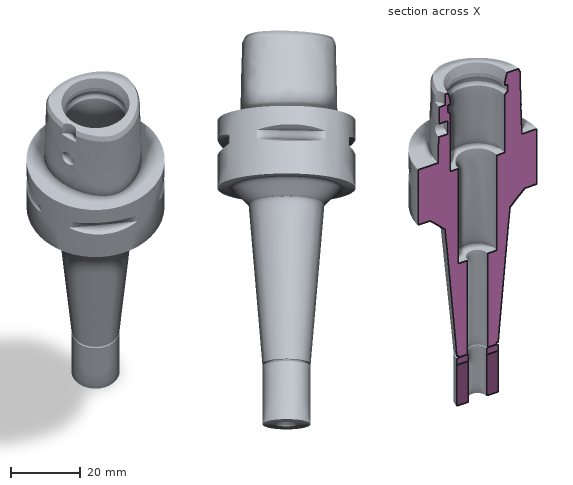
import cadquery as cq
import math

TOP_Z = 114.0
FLANGE_TOP_Z = 90.1
FLANGE_BOTTOM_Z = 70.0
CONE_BOTTOM_Z = 65.2
SHANK_BOTTOM_Z = 17.9
COLLAR_TOP_Z = 17.2
COLLAR_BOTTOM_Z = 14.7

FLANGE_RADIUS = 40.0 / 2
CONE_BOTTOM_RADIUS = 22.2 / 2
CONE_TOP_RADIUS = CONE_BOTTOM_RADIUS + FLANGE_BOTTOM_Z - CONE_BOTTOM_Z
SHANK_TOP_RADIUS = 22.0 / 2
NOSE_RADIUS = 14.0 / 2
NECK_RADIUS = 12.8 / 2

POLYGON_BASE_RADIUS = 28.3 / 2
POLYGON_LOBE = 0.8
TAPER = 1 / 20
CHAMFER_HEIGHT = 1.5
CHAMFER_WIDTH = 0.7
POLYGON_POINTS = 24

HOLDER_THROUGH_RADIUS = 3.3
NOSE_THROUGH_RADIUS = 3.0
COUNTERBORE_RADIUS = 12.9 / 2
COUNTERBORE_DEPTH = 34.2
MAIN_BORE_RADIUS = 18.1 / 2
MAIN_BORE_DEPTH = 28.5
MOUTH_RADIUS = 19.7 / 2
MOUTH_DEPTH = 3.2
GROOVE_RADIUS = MAIN_BORE_RADIUS + 0.9
GROOVE_TOP_DEPTH = 4.6
GROOVE_FLOOR_HEIGHT = 2.3
GROOVE_FLANK_HEIGHT = GROOVE_RADIUS - MAIN_BORE_RADIUS

NOTCH_RADIUS = 2.7
NOTCH_CENTRE_Y = -13.7
NOTCH_DEPTH = 4.0
SIDE_HOLE_RADIUS = 2.3
SIDE_HOLE_Z = 101.6
SIDE_HOLE_FLOOR_Y = -10.0

GRIP_COUNT = 4
GRIP_START_ANGLE = 45.0
GRIP_Z = 82.1
GRIP_FLOOR_DISTANCE = 34.7 / 2
GRIP_FLOOR_HEIGHT = 2.5
GRIP_FLANK_ANGLE = 25.0


def polygon_wire(mean_radius, z):
    """Closed constant-width curve with three rounded lobes, one of them toward +Y."""

    def point(t):
        angle = 2 * math.pi * t - math.pi / 2
        lobe_angle = 3 * (angle - math.pi / 2)
        support = mean_radius + POLYGON_LOBE * math.cos(lobe_angle)
        slope = -3 * POLYGON_LOBE * math.sin(lobe_angle)
        x = support * math.cos(angle) - slope * math.sin(angle)
        y = support * math.sin(angle) + slope * math.cos(angle)
        return cq.Vector(x, y, z)

    points = [point(i / POLYGON_POINTS) for i in range(POLYGON_POINTS)]
    return cq.Wire.assembleEdges([cq.Edge.makeSpline(points, periodic=True)])


def make_polygon_shank():
    chamfer_z = TOP_Z - CHAMFER_HEIGHT
    chamfer_radius = POLYGON_BASE_RADIUS - (chamfer_z - FLANGE_TOP_Z) * TAPER / 2
    base = polygon_wire(POLYGON_BASE_RADIUS, FLANGE_TOP_Z)
    shoulder = polygon_wire(chamfer_radius, chamfer_z)
    tip = polygon_wire(chamfer_radius - CHAMFER_WIDTH, TOP_Z)
    return cq.Workplane(cq.Solid.makeLoft([base, shoulder, tip], True))


def make_turned_blank():
    """Flange, cone, tapered shank and neck as one turned shape."""
    return (
        cq.Workplane("XZ")
        .moveTo(0, FLANGE_TOP_Z)
        .lineTo(FLANGE_RADIUS, FLANGE_TOP_Z)
        .lineTo(FLANGE_RADIUS, FLANGE_BOTTOM_Z)
        .lineTo(CONE_TOP_RADIUS, FLANGE_BOTTOM_Z)
        .lineTo(CONE_BOTTOM_RADIUS, CONE_BOTTOM_Z)
        .lineTo(SHANK_TOP_RADIUS, CONE_BOTTOM_Z)
        .lineTo(NOSE_RADIUS, SHANK_BOTTOM_Z)
        .lineTo(NECK_RADIUS, SHANK_BOTTOM_Z)
        .lineTo(NECK_RADIUS, COLLAR_TOP_Z)
        .lineTo(0, COLLAR_TOP_Z)
        .close()
        .revolve(360, (0, 0, 0), (0, 1, 0))
    )


def make_bore():
    """Stepped bore through the holder, with a tapered mouth and a ring groove below it."""
    mouth_bottom_z = TOP_Z - MOUTH_DEPTH
    groove_top_z = TOP_Z - GROOVE_TOP_DEPTH
    groove_flank_z = groove_top_z - GROOVE_FLOOR_HEIGHT
    groove_bottom_z = groove_flank_z - GROOVE_FLANK_HEIGHT
    main_bottom_z = TOP_Z - MAIN_BORE_DEPTH
    counterbore_bottom_z = main_bottom_z - COUNTERBORE_DEPTH
    return (
        cq.Workplane("XZ")
        .moveTo(0, TOP_Z)
        .lineTo(MOUTH_RADIUS, TOP_Z)
        .lineTo(MAIN_BORE_RADIUS, mouth_bottom_z)
        .lineTo(MAIN_BORE_RADIUS, groove_top_z)
        .lineTo(GROOVE_RADIUS, groove_top_z)
        .lineTo(GROOVE_RADIUS, groove_flank_z)
        .lineTo(MAIN_BORE_RADIUS, groove_bottom_z)
        .lineTo(MAIN_BORE_RADIUS, main_bottom_z)
        .lineTo(COUNTERBORE_RADIUS, main_bottom_z)
        .lineTo(COUNTERBORE_RADIUS, counterbore_bottom_z)
        .lineTo(HOLDER_THROUGH_RADIUS, counterbore_bottom_z)
        .lineTo(HOLDER_THROUGH_RADIUS, COLLAR_TOP_Z)
        .lineTo(0, COLLAR_TOP_Z)
        .close()
        .revolve(360, (0, 0, 0), (0, 1, 0))
    )


def make_key_notch():
    return (
        cq.Workplane("XY", origin=(0, NOTCH_CENTRE_Y, TOP_Z - NOTCH_DEPTH))
        .circle(NOTCH_RADIUS)
        .extrude(NOTCH_DEPTH)
    )


def make_side_hole():
    """Blind flat-bottomed hole, entered from -Y."""
    return (
        cq.Workplane("XZ", origin=(0, SIDE_HOLE_FLOOR_Y, SIDE_HOLE_Z))
        .circle(SIDE_HOLE_RADIUS)
        .extrude(FLANGE_RADIUS + SIDE_HOLE_FLOOR_Y)
    )


def make_grip_groove(angle):
    """Straight groove with sloping flanks, cut across the rim of the flange."""
    depth = FLANGE_RADIUS - GRIP_FLOOR_DISTANCE
    half_floor = GRIP_FLOOR_HEIGHT / 2
    half_mouth = half_floor + depth * math.tan(math.radians(GRIP_FLANK_ANGLE))
    return (
        cq.Workplane("XZ", origin=(0, 0, GRIP_Z))
        .moveTo(GRIP_FLOOR_DISTANCE, -half_floor)
        .lineTo(FLANGE_RADIUS, -half_mouth)
        .lineTo(FLANGE_RADIUS, half_mouth)
        .lineTo(GRIP_FLOOR_DISTANCE, half_floor)
        .close()
        .extrude(FLANGE_RADIUS, both=True)
        .rotate((0, 0, 0), (0, 0, 1), angle)
    )


def make_holder():
    holder = make_turned_blank().union(make_polygon_shank())
    holder = holder.cut(make_bore()).cut(make_key_notch()).cut(make_side_hole())
    for i in range(GRIP_COUNT):
        holder = holder.cut(make_grip_groove(GRIP_START_ANGLE + i * 360 / GRIP_COUNT))
    return holder.solids()


def make_nose_ring(bottom_z, top_z):
    """Plain ring around the through bore."""
    return (
        cq.Workplane("XY", origin=(0, 0, bottom_z))
        .circle(NOSE_RADIUS)
        .circle(NOSE_THROUGH_RADIUS)
        .extrude(top_z - bottom_z)
    )


holder = make_holder()
collar = make_nose_ring(COLLAR_BOTTOM_Z, COLLAR_TOP_Z)
nose_sleeve = make_nose_ring(0, COLLAR_BOTTOM_Z)

result = cq.Compound.makeCompound([holder.val(), collar.val(), nose_sleeve.val()])